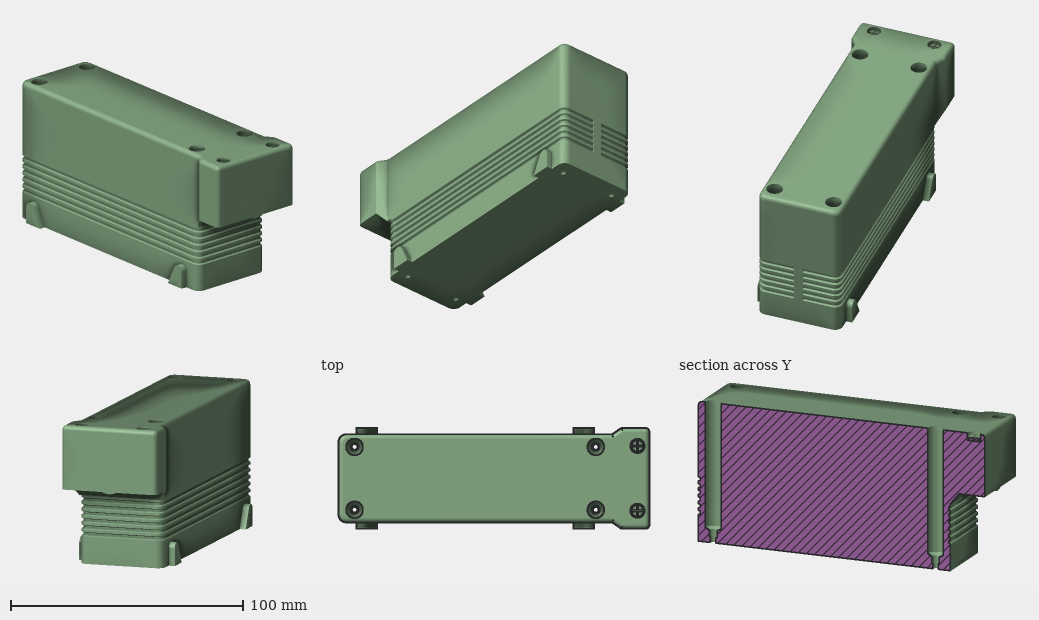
import cadquery as cq
import math

BODY_LENGTH = 117.9
BODY_WIDTH = 38.0
HEIGHT = 63.0
CORNER_RADIUS = 3.5
TOP_RADIUS = 2.0

TOTAL_LENGTH = 134.0
HEAD_WIDTH = 43.5
HEAD_FULL_X = 122.0
HEAD_BOTTOM_Z = 35.0
HEAD_SLOPE_Z = 30.0
HEAD_CORNER_RADIUS = 2.0

GROOVE_COUNT = 6
GROOVE_LOWEST_Z = 12.0
GROOVE_HIGHEST_Z = 27.1
GROOVE_MOUTH = 1.9
GROOVE_FLOOR = 1.1
GROOVE_DEPTH = 0.8
RIB_WIDTH = 4.0

LUG_WIDTH = 9.0
LUG_HEIGHT = 10.0
LUG_TIP_RADIUS = 2.5
LUG_LEFT_X = 7.8
LUG_RIGHT_X = 110.1

MOUNT_XS = (7.0, 110.8)
MOUNT_Y = 13.5
MOUNT_TOP_RADIUS = 3.6
MOUNT_SEAT_Z = 6.7
MOUNT_SEAT_DEPTH = 1.1
MOUNT_STEP_RADIUS = 1.7
MOUNT_STEP_Z = 2.7
MOUNT_BORE_RADIUS = 1.2

SCREW_X = 128.8
SCREW_Y = 14.0
SCREW_RADIUS = 2.5
SCREW_HEIGHT = 2.0
SCREW_SLOT_WIDTH = 0.8
SCREW_SLOT_DEPTH = 0.7
SCREW_HOLE_RADIUS = 3.1
SCREW_RECESS = 1.3

GLAND_RADIUS = 6.7
GLAND_LENGTH = 10.0
GLAND_BOTTOM_Z = 34.2

groove_pitch = (GROOVE_HIGHEST_Z - GROOVE_LOWEST_Z) / (GROOVE_COUNT - 1)
screw_seat_z = HEIGHT - SCREW_RECESS - SCREW_HEIGHT


def make_lower_block():
    """Lower part of the body, up to the start of the head, with rounded upright corners."""
    return (
        cq.Workplane("XY")
        .box(BODY_LENGTH, BODY_WIDTH, HEAD_SLOPE_Z, centered=(False, True, False))
        .edges("|Z")
        .fillet(CORNER_RADIUS)
    )


def make_upper_block():
    """Body and head in one plan outline, cut below by the head's underside, with a rounded top rim."""
    body_y = BODY_WIDTH / 2
    head_y = HEAD_WIDTH / 2
    block = (
        cq.Workplane("XY")
        .workplane(offset=HEAD_SLOPE_Z)
        .polyline([
            (0, -body_y),
            (BODY_LENGTH, -body_y),
            (HEAD_FULL_X, -head_y),
            (TOTAL_LENGTH, -head_y),
            (TOTAL_LENGTH, head_y),
            (HEAD_FULL_X, head_y),
            (BODY_LENGTH, body_y),
            (0, body_y),
        ])
        .close()
        .extrude(HEIGHT - HEAD_SLOPE_Z)
    )
    block = block.edges("|Z and <X").fillet(CORNER_RADIUS)
    block = block.edges("|Z and >X").fillet(HEAD_CORNER_RADIUS)
    block = block.faces(">Z").edges().fillet(TOP_RADIUS)
    under_head = (
        cq.Workplane("XZ")
        .polyline([
            (BODY_LENGTH, HEAD_SLOPE_Z),
            (HEAD_FULL_X, HEAD_BOTTOM_Z),
            (TOTAL_LENGTH, HEAD_BOTTOM_Z),
            (TOTAL_LENGTH, HEAD_SLOPE_Z),
        ])
        .close()
        .extrude(HEAD_WIDTH / 2, both=True)
    )
    return block.cut(under_head)


def groove_floor_outline(z):
    """Outline of the groove floor: the body outline moved inwards by the groove depth."""
    return (
        cq.Workplane("XY")
        .workplane(offset=z)
        .center(BODY_LENGTH / 2, 0)
        .sketch()
        .rect(BODY_LENGTH - 2 * GROOVE_DEPTH, BODY_WIDTH - 2 * GROOVE_DEPTH)
        .vertices()
        .fillet(CORNER_RADIUS - GROOVE_DEPTH)
        .finalize()
    )


def make_groove(lower_z):
    """Ring with a trapezoidal section around the body, left open at the end rib."""
    wall_rise = (GROOVE_MOUTH - GROOVE_FLOOR) / 2
    flare = -math.degrees(math.atan(GROOVE_DEPTH / wall_rise))
    floor_low_z = lower_z + wall_rise
    floor_high_z = floor_low_z + GROOVE_FLOOR

    core = groove_floor_outline(floor_low_z).extrude(GROOVE_FLOOR)
    core = core.union(groove_floor_outline(floor_high_z).extrude(wall_rise, taper=flare))
    core = core.union(groove_floor_outline(floor_low_z).extrude(-wall_rise, taper=flare))
    slab = (
        cq.Workplane("XY")
        .box(BODY_LENGTH, BODY_WIDTH, GROOVE_MOUTH, centered=(False, True, False))
        .translate((0, 0, lower_z))
    )
    rib = cq.Workplane("XY").box(BODY_LENGTH / 2, RIB_WIDTH, HEIGHT, centered=(False, True, False))
    return slab.cut(core).cut(rib)


def make_lugs(upright_x, direction):
    """Pair of lugs, one on each long side; the slanted edge lies towards +X for direction = 1."""
    centre_z = LUG_HEIGHT - LUG_TIP_RADIUS
    toe_run = LUG_WIDTH - LUG_TIP_RADIUS
    toe_distance = math.hypot(toe_run, centre_z)
    tangent_angle = math.acos(LUG_TIP_RADIUS / toe_distance) - math.atan2(centre_z, toe_run)

    def tip_point(angle):
        along = LUG_TIP_RADIUS + LUG_TIP_RADIUS * math.cos(angle)
        return (upright_x + direction * along, centre_z + LUG_TIP_RADIUS * math.sin(angle))

    return (
        cq.Workplane("XZ")
        .moveTo(upright_x, 0)
        .lineTo(upright_x, centre_z)
        .threePointArc(tip_point(math.pi / 2), tip_point(tangent_angle))
        .lineTo(upright_x + direction * LUG_WIDTH, 0)
        .close()
        .extrude(HEAD_WIDTH / 2, both=True)
    )


def make_mount_hole(x, y):
    """Counterbore with a conical seat, a short step and a small bore through the bottom."""
    return (
        cq.Workplane("XZ")
        .polyline([
            (0, 0),
            (MOUNT_BORE_RADIUS, 0),
            (MOUNT_BORE_RADIUS, MOUNT_STEP_Z),
            (MOUNT_STEP_RADIUS, MOUNT_STEP_Z),
            (MOUNT_STEP_RADIUS, MOUNT_SEAT_Z - MOUNT_SEAT_DEPTH),
            (MOUNT_TOP_RADIUS, MOUNT_SEAT_Z),
            (MOUNT_TOP_RADIUS, HEIGHT),
            (0, HEIGHT),
        ])
        .close()
        .revolve(360, (0, 0, 0), (0, 1, 0))
        .translate((x, y, 0))
    )


def make_gland():
    """Round gland flush with the end face of the head."""
    return (
        cq.Workplane("YZ")
        .workplane(offset=TOTAL_LENGTH - GLAND_LENGTH)
        .center(0, GLAND_BOTTOM_Z + GLAND_RADIUS)
        .circle(GLAND_RADIUS)
        .extrude(GLAND_LENGTH)
    )


def make_screw(y):
    """Screw head with a cross slot."""
    screw = cq.Workplane("XY").circle(SCREW_RADIUS).extrude(SCREW_HEIGHT)
    for length, width in (
        (2 * SCREW_RADIUS, SCREW_SLOT_WIDTH),
        (SCREW_SLOT_WIDTH, 2 * SCREW_RADIUS),
    ):
        slot = (
            cq.Workplane("XY")
            .workplane(offset=SCREW_HEIGHT - SCREW_SLOT_DEPTH)
            .rect(length, width)
            .extrude(SCREW_SLOT_DEPTH)
        )
        screw = screw.cut(slot)
    return screw.translate((SCREW_X, y, screw_seat_z))


def make_housing():
    """Body, head and lugs, with the grooves, holes and recesses cut out."""
    housing = make_lower_block().union(make_upper_block())
    for index in range(GROOVE_COUNT):
        housing = housing.cut(make_groove(GROOVE_LOWEST_Z + index * groove_pitch))
    housing = housing.union(make_lugs(LUG_LEFT_X, 1))
    housing = housing.union(make_lugs(LUG_RIGHT_X, -1))
    for x in MOUNT_XS:
        for y in (-MOUNT_Y, MOUNT_Y):
            housing = housing.cut(make_mount_hole(x, y))
    for y in (-SCREW_Y, SCREW_Y):
        screw_hole = (
            cq.Workplane("XY")
            .workplane(offset=screw_seat_z)
            .center(SCREW_X, y)
            .circle(SCREW_HOLE_RADIUS)
            .extrude(HEIGHT - screw_seat_z)
        )
        housing = housing.cut(screw_hole)
    return housing.cut(make_gland())


housing = make_housing()
gland = make_gland()
screws = [make_screw(y) for y in (-SCREW_Y, SCREW_Y)]

result = cq.Compound.makeCompound([
    housing.val(),
    gland.val(),
    *[screw.val() for screw in screws],
])